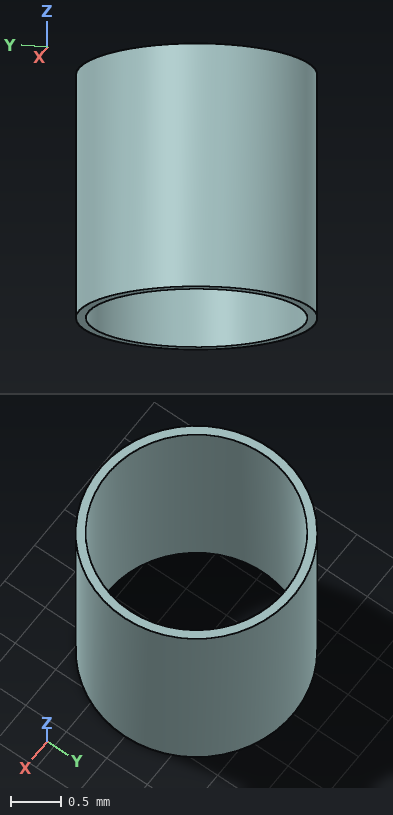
import cadquery as cq

height = 2.5
outer_diameter = 2.4
wall_thickness = 0.1
inner_diameter = outer_diameter - 2 * wall_thickness

result = (
    cq.Workplane("XY")
    .circle(outer_diameter / 2)
    .circle(inner_diameter / 2)
    .extrude(height)
)